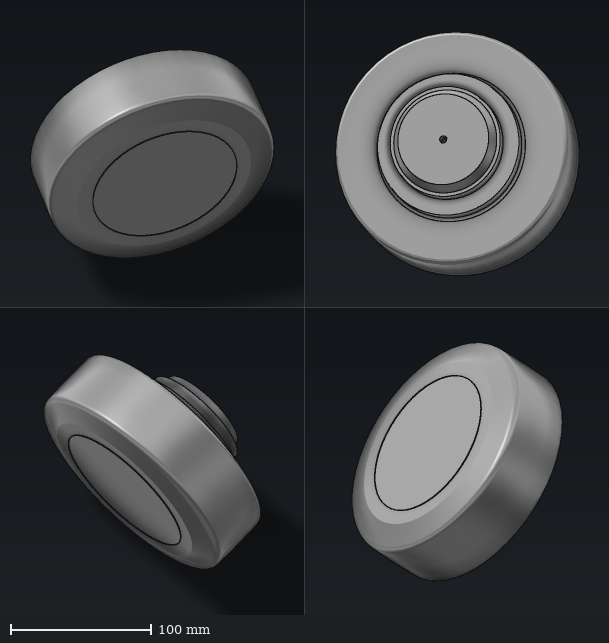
import cadquery as cq
import math

overall_width = 84.0
nose_end = 7.8
collar_end = 19.0
pad_height = 0.5
flange_end = 30.0
wheel_start = flange_end + pad_height
wheel_end = overall_width - pad_height

nose_tip_radius = 33.0
nose_base_radius = 37.4
collar_radius = 40.0
flange_radius = 51.3
pad_radius = 53.9
far_face_radius = 65.0
wheel_radius = 85.0
crown_drop = 0.3

near_round = 3.0
far_round = 5.0
far_slope = math.radians(15)

hole_radius = 2.5
hole_depth = 8.5
drill_point_angle = math.radians(118)

tread_edge_radius = wheel_radius - crown_drop


def arc_point(center, radius, angle):
    """Point (x, r) on an arc, with the angle measured from the +X axis."""
    return (center[0] + radius * math.cos(angle), center[1] + radius * math.sin(angle))


def revolve_about_x(profile):
    return profile.close().revolve(360, (0, 0, 0), (1, 0, 0))


def make_body():
    near_center = (wheel_start + near_round, tread_edge_radius - near_round)

    far_center_r = tread_edge_radius - far_round
    cone_start_r = far_center_r + far_round * math.sin(far_slope)
    cone_start_x = wheel_end - (cone_start_r - far_face_radius) * math.tan(far_slope)
    far_center = (cone_start_x - far_round * math.cos(far_slope), far_center_r)
    far_mid_angle = (math.pi / 2 + far_slope) / 2

    profile = (
        cq.Workplane("XY")
        .moveTo(0, 0)
        .lineTo(0, nose_tip_radius)
        .lineTo(nose_end, nose_base_radius)
        .lineTo(nose_end, collar_radius)
        .lineTo(collar_end, collar_radius)
        .lineTo(collar_end, flange_radius)
        .lineTo(flange_end, flange_radius)
        .lineTo(flange_end, pad_radius)
        .lineTo(wheel_start, pad_radius)
        .lineTo(wheel_start, near_center[1])
        .threePointArc(
            arc_point(near_center, near_round, math.radians(135)),
            (near_center[0], tread_edge_radius),
        )
        .threePointArc(
            ((near_center[0] + far_center[0]) / 2, wheel_radius),
            (far_center[0], tread_edge_radius),
        )
        .threePointArc(
            arc_point(far_center, far_round, far_mid_angle),
            (cone_start_x, cone_start_r),
        )
        .lineTo(wheel_end, far_face_radius)
        .lineTo(wheel_end, pad_radius)
        .lineTo(overall_width, pad_radius)
        .lineTo(overall_width, 0)
    )
    return revolve_about_x(profile)


def make_center_hole():
    point_depth = hole_radius / math.tan(drill_point_angle / 2)
    profile = (
        cq.Workplane("XY")
        .moveTo(0, 0)
        .lineTo(0, hole_radius)
        .lineTo(hole_depth, hole_radius)
        .lineTo(hole_depth + point_depth, 0)
    )
    return revolve_about_x(profile)


result = make_body().cut(make_center_hole())